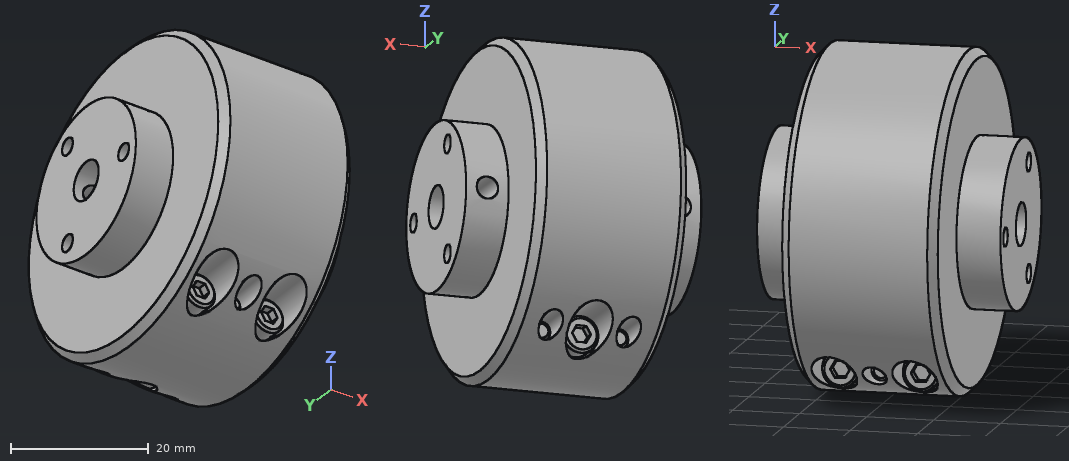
import cadquery as cq
import math

total_length = 36.32
rim_width = 23.2
rim_diameter = 50.8
rim_chamfer = 1.27
hub_diameter = 25.3
bore_diameter = 6.35

axial_hole_count = 3
axial_hole_diameter = 2.75
axial_hole_circle_radius = 9.525
first_axial_hole_angle = 180

hub_set_hole_diameter = 3.3
hub_length = (total_length - rim_width) / 2
hub_set_hole_x = (total_length - hub_length) / 2

shank_diameter = 3.0
shank_length = 20.0
tip_chamfer = 0.45
head_diameter = 5.5
head_height = 3.0
head_chamfer = 0.42
socket_across_flats = 2.5
socket_depth = 1.5
socket_turn = 30

screw_z = -20.35
screw_spacing = 6.02
screw_seat_y = 8.7
screw_layout = [(-screw_spacing, -1), (0, 1), (screw_spacing, -1)]

screw_hole_diameter = 3.4
counterbore_diameter = 6.45


def cylinder_along_y(diameter, x, z, start_y, end_y):
    """Cylinder parallel to Y from start_y to end_y."""
    length = abs(end_y - start_y)
    direction = cq.Vector(0, math.copysign(1, end_y - start_y), 0)
    return cq.Workplane(cq.Solid.makeCylinder(diameter / 2, length, cq.Vector(x, start_y, z), direction))


def make_collar():
    profile = (
        cq.Workplane("XY")
        .moveTo(-total_length / 2, -bore_diameter / 2)
        .lineTo(-total_length / 2, -hub_diameter / 2)
        .lineTo(-rim_width / 2, -hub_diameter / 2)
        .lineTo(-rim_width / 2, -rim_diameter / 2 + rim_chamfer)
        .lineTo(-rim_width / 2 + rim_chamfer, -rim_diameter / 2)
        .lineTo(rim_width / 2 - rim_chamfer, -rim_diameter / 2)
        .lineTo(rim_width / 2, -rim_diameter / 2 + rim_chamfer)
        .lineTo(rim_width / 2, -hub_diameter / 2)
        .lineTo(total_length / 2, -hub_diameter / 2)
        .lineTo(total_length / 2, -bore_diameter / 2)
        .close()
    )
    body = profile.revolve(360, (0, 0, 0), (1, 0, 0))

    axial_holes = (
        cq.Workplane("YZ")
        .polarArray(axial_hole_circle_radius, first_axial_hole_angle, 360, axial_hole_count)
        .circle(axial_hole_diameter / 2)
        .extrude(total_length / 2, both=True)
    )
    body = body.cut(axial_holes)

    for x in (-hub_set_hole_x, hub_set_hole_x):
        body = body.cut(cylinder_along_y(hub_set_hole_diameter, x, 0, 0, hub_diameter / 2))

    for x, side in screw_layout:
        outside_y = side * rim_diameter / 2
        body = body.cut(cylinder_along_y(screw_hole_diameter, x, screw_z, -outside_y, outside_y))
        body = body.cut(cylinder_along_y(counterbore_diameter, x, screw_z, side * screw_seat_y, outside_y))
    return body


def make_cap_screw(x, side):
    """Cap screw whose head faces the given side: -1 for -Y, +1 for +Y."""
    shank = cq.Workplane("XY").circle(shank_diameter / 2).extrude(-shank_length)
    shank = shank.faces("<Z").chamfer(tip_chamfer)
    head = cq.Workplane("XY").circle(head_diameter / 2).extrude(head_height)
    head = head.faces(">Z").chamfer(head_chamfer)
    socket = (
        cq.Workplane("XY", origin=(0, 0, head_height))
        .transformed(rotate=(0, 0, socket_turn))
        .polygon(6, socket_across_flats, circumscribed=True)
        .extrude(-socket_depth)
    )
    screw = head.union(shank).cut(socket)
    screw = screw.rotate((0, 0, 0), (1, 0, 0), -side * 90)
    return screw.translate((x, side * screw_seat_y, screw_z))


collar = make_collar()
cap_screws = [make_cap_screw(x, side) for x, side in screw_layout]

result = cq.Compound.makeCompound([collar.val(), *[screw.val() for screw in cap_screws]])